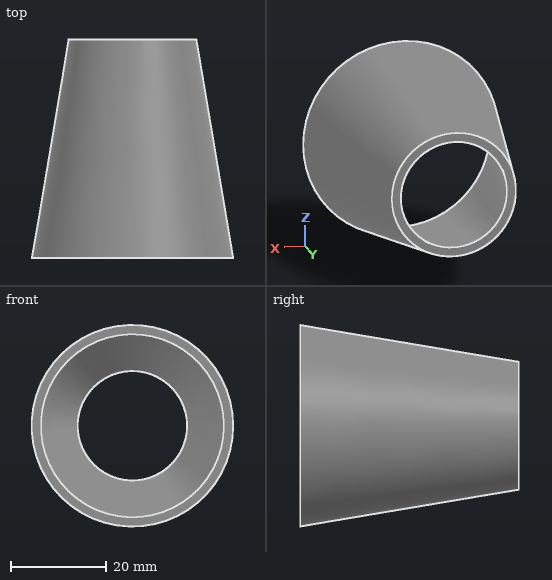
import cadquery as cq

length = 46.0
wide_diameter = 42.4
narrow_diameter = 26.9
wall = 2.0

wide_radius = wide_diameter / 2
narrow_radius = narrow_diameter / 2

wall_section = (
    cq.Workplane("XY")
    .moveTo(wide_radius - wall, 0)
    .lineTo(wide_radius, 0)
    .lineTo(narrow_radius, length)
    .lineTo(narrow_radius - wall, length)
    .close()
)

result = wall_section.revolve(360, (0, 0, 0), (0, 1, 0))